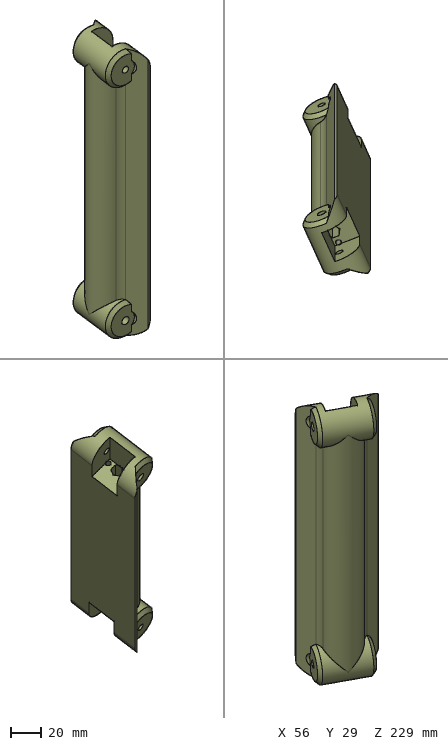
import cadquery as cq
import math


total_length = 229.0
total_depth = 29.0
plate_width = 56.0

barrel_radius = total_depth / 2
pivot_height = total_length / 2 - barrel_radius
barrel_length = 40.3
barrel_chamfer = 2.7

plate_back = barrel_radius
plate_edge = 2.0
flank_angle = 43.7
neck_radius = 11.5

slot_width = 22.0
slot_offset = 1.4
slot_front = -3.2
slot_floor = pivot_height - barrel_radius

wide_pin_radius = 3.0
narrow_pin_radius = 2.5
spot_face_radius = 7.3
hex_flats = 7.8
screw_radius = 1.8
screw_spacing = 16.5


def mirrored_x(point):
    return (-point[0], point[1])


def spine():
    """Plate with sloping flanks, blended by concave arcs into a round front."""
    angle = math.radians(flank_angle)
    normal = (math.sin(angle), -math.cos(angle))
    along = (math.cos(angle), math.sin(angle))
    back_corner = (plate_width / 2, plate_back)
    flank_start = (plate_width / 2, plate_back - plate_edge)

    flank_distance = normal[0] * flank_start[0] + normal[1] * flank_start[1]
    off_flank = flank_distance + neck_radius
    off_axis = barrel_radius + neck_radius
    slide = math.sqrt(off_axis**2 - off_flank**2)
    center = (
        off_flank * normal[0] + slide * along[0],
        off_flank * normal[1] + slide * along[1],
    )
    flank_end = (center[0] - neck_radius * normal[0], center[1] - neck_radius * normal[1])
    round_start = (center[0] * barrel_radius / off_axis, center[1] * barrel_radius / off_axis)
    start_angle = math.atan2(-normal[1], -normal[0])
    end_angle = math.atan2(-center[1], -center[0]) % (2 * math.pi)
    middle_angle = (start_angle + end_angle) / 2
    blend_middle = (
        center[0] + neck_radius * math.cos(middle_angle),
        center[1] + neck_radius * math.sin(middle_angle),
    )

    section = (
        cq.Workplane("XY")
        .moveTo(*mirrored_x(back_corner))
        .lineTo(*back_corner)
        .lineTo(*flank_start)
        .lineTo(*flank_end)
        .threePointArc(blend_middle, round_start)
        .threePointArc((0, -barrel_radius), mirrored_x(round_start))
        .threePointArc(mirrored_x(blend_middle), mirrored_x(flank_end))
        .lineTo(*mirrored_x(flank_start))
        .close()
        .extrude(total_length / 2, both=True)
    )
    side_outline = (
        cq.Workplane("YZ")
        .slot2D(total_length, total_depth, 90)
        .extrude(plate_width / 2, both=True)
    )
    return section.intersect(side_outline)


def cylinder_along_x(radius, height, start, end):
    """Cylinder about the pivot line at the given height, from X = start to X = end."""
    return (
        cq.Workplane("YZ", origin=(start, 0, height))
        .circle(radius)
        .extrude(end - start)
    )


def barrel(height):
    half = barrel_length / 2
    return cylinder_along_x(barrel_radius, height, -half, half).faces("|X").chamfer(barrel_chamfer)


def upper_end_cuts():
    """Spot faces, clevis slot and stepped pin hole of the upper end."""
    inner = barrel_length / 2
    outer = plate_width / 2
    cuts = cylinder_along_x(spot_face_radius, pivot_height, inner, outer)
    cuts = cuts.union(cylinder_along_x(spot_face_radius, pivot_height, -outer, -inner))
    cuts = cuts.union(cylinder_along_x(wide_pin_radius, pivot_height, -inner, -slot_offset))
    cuts = cuts.union(cylinder_along_x(narrow_pin_radius, pivot_height, -slot_offset, inner))
    slot = cq.Workplane("XY").box(
        slot_width,
        plate_back - slot_front,
        total_length / 2 - slot_floor,
        centered=(True, False, False),
    )
    return cuts.union(slot.translate((-slot_offset, slot_front, slot_floor)))


def spine_bores():
    """Central hexagonal bore and two screw holes, running from slot floor to slot floor."""
    hex_diameter = hex_flats / math.cos(math.pi / 6)
    length = 2 * slot_floor
    base = cq.Workplane("XY", origin=(0, 0, -slot_floor))
    hexagon = base.transformed(rotate=(0, 0, 90)).polygon(6, hex_diameter).extrude(length)
    screws = base.rarray(screw_spacing, 2.3, 2, 1).circle(screw_radius).extrude(length)
    return hexagon.union(screws)


result = spine().union(barrel(pivot_height)).union(barrel(-pivot_height))

for turn in (0, 180):
    result = result.cut(upper_end_cuts().rotate((0, 0, 0), (0, 1, 0), turn))

result = result.cut(spine_bores())